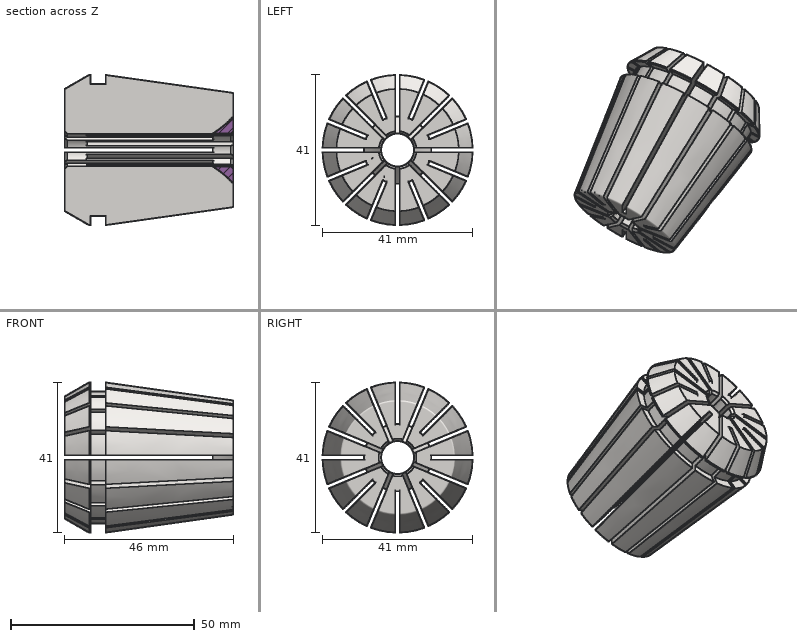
import cadquery as cq
import math

length = 46.0
body_diameter = 41.0
bore_diameter = 8.92

nose_angle = 30.0
nose_cone_length = 6.62
rim_end = 7.05

groove_end = 11.2
groove_diameter = 36.0

taper_angle = 8.0
tail_edge_radius = 0.45

bore_chamfer = 0.7

slot_width = 1.15
slots_per_end = 8
web_radius = 9.2
nose_slot_reach = 40.3
tail_slot_reach = 39.85
saw_radius = 26.7

body_radius = body_diameter / 2
bore_radius = bore_diameter / 2


def tan_deg(angle):
    return math.tan(math.radians(angle))


def make_body():
    """Revolve the hollow half section, then round the outer edge of the tail."""
    nose_radius = body_radius - nose_cone_length * tan_deg(nose_angle)
    tail_radius = body_radius - (length - groove_end) * tan_deg(taper_angle)
    groove_radius = groove_diameter / 2
    mouth_radius = bore_radius + bore_chamfer
    half_section = (
        cq.Workplane("XY")
        .moveTo(0, mouth_radius)
        .lineTo(0, nose_radius)
        .lineTo(nose_cone_length, body_radius)
        .lineTo(rim_end, body_radius)
        .lineTo(rim_end, groove_radius)
        .lineTo(groove_end, groove_radius)
        .lineTo(groove_end, body_radius)
        .lineTo(length, tail_radius)
        .lineTo(length, mouth_radius)
        .lineTo(length - bore_chamfer, bore_radius)
        .lineTo(bore_chamfer, bore_radius)
        .close()
    )
    body = half_section.revolve(360, (0, 0, 0), (1, 0, 0))
    outer_edge = cq.selectors.RadiusNthSelector(-1)
    return body.faces(">X").edges(outer_edge).fillet(tail_edge_radius)


def make_slot(slot_reach):
    """One slot sawn from the nose, in the half plane +Z, with a curved run-out at the tail."""
    run_length = length - slot_reach
    run_height = web_radius - bore_radius
    chord = math.hypot(run_length, run_height)
    sagitta = saw_radius - math.sqrt(saw_radius**2 - (chord / 2) ** 2)
    arc_middle = (
        slot_reach + run_length / 2 + sagitta * run_height / chord,
        bore_radius + run_height / 2 - sagitta * run_length / chord,
    )
    return (
        cq.Workplane("XZ")
        .moveTo(0, 0)
        .lineTo(slot_reach, 0)
        .lineTo(slot_reach, bore_radius)
        .threePointArc(arc_middle, (length, web_radius))
        .lineTo(length, body_diameter)
        .lineTo(0, body_diameter)
        .close()
        .extrude(slot_width / 2, both=True)
    )


def cut_slots(body):
    """Cut the two sets of slots, the tail set turned by half a pitch."""
    pitch = 360 / slots_per_end
    nose_slot = make_slot(nose_slot_reach)
    tail_slot = make_slot(tail_slot_reach).mirror("YZ", (length / 2, 0, 0))
    tail_slot = tail_slot.rotate((0, 0, 0), (1, 0, 0), pitch / 2)
    for i in range(slots_per_end):
        for slot in (nose_slot, tail_slot):
            body = body.cut(slot.rotate((0, 0, 0), (1, 0, 0), i * pitch))
    return body


result = cut_slots(make_body())